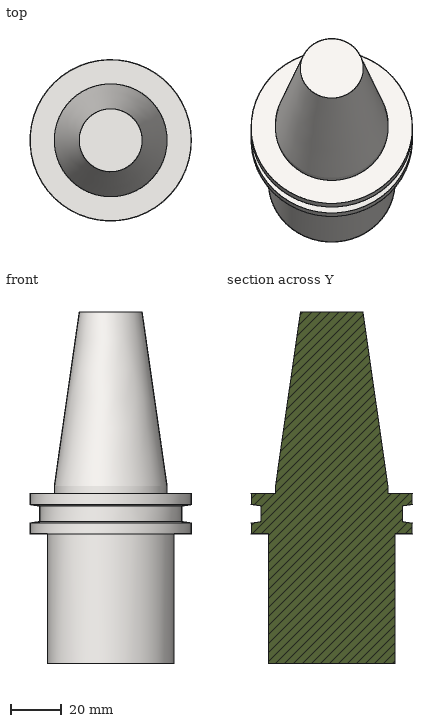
import cadquery as cq

total_height = 138.4
body_diameter = 50.0
flange_diameter = 63.5
groove_diameter = 56.0
gauge_diameter = 44.4
taper_tip_diameter = 24.8

flange_bottom = 51.1
groove_bottom = 55.9
groove_top = 62.0
flange_top = 67.0
taper_start = 69.9

groove_wall_rise = 0.5

body_radius = body_diameter / 2
flange_radius = flange_diameter / 2
groove_radius = groove_diameter / 2
gauge_radius = gauge_diameter / 2
tip_radius = taper_tip_diameter / 2

half_section = [
    (0, 0),
    (body_radius, 0),
    (body_radius, flange_bottom),
    (flange_radius, flange_bottom),
    (flange_radius, groove_bottom - groove_wall_rise),
    (groove_radius, groove_bottom),
    (groove_radius, groove_top),
    (flange_radius, groove_top + groove_wall_rise),
    (flange_radius, flange_top),
    (gauge_radius, flange_top),
    (gauge_radius, taper_start),
    (tip_radius, total_height),
    (0, total_height),
]

result = cq.Workplane("XZ").polyline(half_section).close().revolve(360, (0, 0), (0, 1))